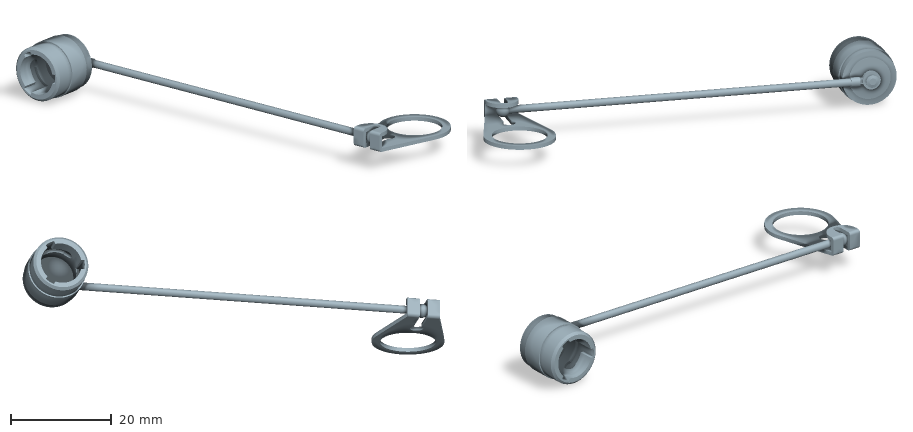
import cadquery as cq
import math


band_radius = 5.84
body_radius = 5.58
mouth_y = -12.43
band_front_y = -8.3
band_back_y = -3.77
body_back_y = -1.8
mouth_chamfer = 0.5
lip_radius = 4.27
lip_height = 0.3
bore_radius = 4.13
bore_depth = 8.0

track_count = 3
track_width = 1.9
track_floor_radius = 4.75
track_depth = 5.2
track_turn = 60.0
detent_diameter = 2.4

neck_radius = 0.8
collar_radius = 1.0
head_radius = 1.3
head_tip_radius = 0.7
collar_length = 0.6
head_rim_length = 0.1
head_tip_length = 0.2

eyelet_radius = 1.85
eyelet_thickness = 0.8
eyelet_front_y = -0.83
tongue_width = 1.2
tongue_thickness = 0.5
barrel_radius = 0.95
barrel_start_x = 2.54
barrel_end_x = 4.4
cord_radius = 0.78
ball_radius = 1.4

tag_x = 75.7
ring_radius = 7.21
ring_hole_radius = 5.55
ring_y = 13.08
sheet = 0.8
fold_height = 4.0
fold_half_width = 3.3
fold_front_y = -2.05
fold_radius = 0.6
tab_arc_y = -0.8
slot_width = 1.6
tab_slot_end_y = 1.85
keyhole_radius = 1.33
keyhole_y = 4.8

eyelet_back_y = eyelet_front_y + eyelet_thickness
lip_back_y = body_back_y + lip_height
bore_floor_y = mouth_y + bore_depth


def cylinder_along_y(radius, start_y, end_y):
    return cq.Workplane("XZ", origin=(0, start_y, 0)).circle(radius).extrude(start_y - end_y)


def cylinder_along_x(radius, start_x, end_x):
    return cq.Workplane("YZ", origin=(start_x, 0, 0)).circle(radius).extrude(end_x - start_x)


def bayonet_track():
    """Axial entry groove on the +X side, a turn about Y, and a round detent at its end."""
    entry = cq.Workplane("XY").box(
        track_floor_radius, track_depth, track_width, centered=(False, False, True)
    ).translate((0, mouth_y, 0))
    turn_middle_y = mouth_y + track_depth - track_width / 2
    turn = (
        cq.Workplane("XY")
        .center(track_floor_radius / 2, turn_middle_y)
        .rect(track_floor_radius, track_width)
        .revolve(track_turn, (-track_floor_radius / 2, 0), (-track_floor_radius / 2, 1))
    )
    detent = (
        cq.Workplane("YZ", origin=(0, turn_middle_y, 0))
        .circle(detent_diameter / 2)
        .extrude(track_floor_radius)
        .rotate((0, 0, 0), (0, 1, 0), track_turn)
    )
    limit = cylinder_along_y(track_floor_radius, mouth_y, bore_floor_y)
    return entry.union(turn).union(detent).intersect(limit)


def make_plug():
    collar_y = eyelet_back_y + collar_length
    rim_y = collar_y + head_rim_length
    tip_y = rim_y + head_tip_length
    profile = [
        (0, bore_floor_y),
        (bore_radius, bore_floor_y),
        (bore_radius, mouth_y),
        (body_radius - mouth_chamfer, mouth_y),
        (body_radius, mouth_y + mouth_chamfer),
        (body_radius, band_front_y),
        (band_radius, band_front_y),
        (band_radius, band_back_y),
        (body_radius, band_back_y),
        (body_radius, body_back_y),
        (lip_radius, body_back_y),
        (lip_radius, lip_back_y),
        (neck_radius, lip_back_y),
        (neck_radius, eyelet_back_y),
        (collar_radius, eyelet_back_y),
        (collar_radius, collar_y),
        (head_radius, collar_y),
        (head_radius, rim_y),
        (head_tip_radius, tip_y),
        (0, tip_y),
    ]
    plug = cq.Workplane("XY").polyline(profile).close().revolve(360, (0, 0), (0, 1))
    track = bayonet_track()
    for number in range(track_count):
        plug = plug.cut(track.rotate((0, 0, 0), (0, 1, 0), number * 360 / track_count))
    return plug


def make_lanyard():
    eyelet = cylinder_along_y(eyelet_radius, eyelet_front_y, eyelet_back_y)
    tongue = cq.Workplane("XY").box(
        barrel_start_x, tongue_thickness, tongue_width, centered=(False, True, True)
    ).translate((0, eyelet_front_y + eyelet_thickness / 2, 0))
    hole = cylinder_along_y(neck_radius, eyelet_front_y, eyelet_back_y)
    barrel = cylinder_along_x(barrel_radius, barrel_start_x, barrel_end_x)
    cord = cylinder_along_x(cord_radius, barrel_start_x, tag_x)
    ball = cq.Workplane("XY").sphere(ball_radius).translate((tag_x, 0, 0))
    return eyelet.union(tongue).cut(hole).union(barrel).union(cord).union(ball)


def plate_outline():
    """Ring end of the plate with straight sides tangent to it, down to the foot at the fold."""
    foot_y = fold_front_y + fold_radius
    foot_drop = ring_y - foot_y
    foot_distance = math.hypot(fold_half_width, foot_drop)
    foot_angle = math.atan2(-foot_drop, fold_half_width)
    tangent_angle = foot_angle + math.acos(ring_radius / foot_distance)
    tangent_x = ring_radius * math.cos(tangent_angle)
    tangent_y = ring_y + ring_radius * math.sin(tangent_angle)
    return (
        cq.Workplane("XY", origin=(0, 0, -fold_height / 2))
        .moveTo(-fold_half_width, foot_y)
        .lineTo(-fold_half_width, fold_front_y)
        .lineTo(fold_half_width, fold_front_y)
        .lineTo(fold_half_width, foot_y)
        .lineTo(tangent_x, tangent_y)
        .threePointArc((0, ring_y + ring_radius), (-tangent_x, tangent_y))
        .close()
    )


def make_tag():
    bottom_z = -fold_height / 2
    tab_bottom_z = fold_height / 2 - sheet
    plate = plate_outline().extrude(sheet)
    wall = cq.Workplane("XY", origin=(0, fold_front_y, bottom_z)).box(
        2 * fold_half_width, sheet, fold_height, centered=(True, False, False)
    )
    tab = (
        cq.Workplane("XY", origin=(0, 0, tab_bottom_z))
        .moveTo(-fold_half_width, fold_front_y)
        .lineTo(fold_half_width, fold_front_y)
        .lineTo(fold_half_width, tab_arc_y)
        .threePointArc((0, tab_arc_y + fold_half_width), (-fold_half_width, tab_arc_y))
        .close()
        .extrude(sheet)
    )
    tag = plate.union(wall).union(tab)
    tag = tag.edges("|X and <Y").fillet(fold_radius)

    ring_hole = cq.Workplane("XY", origin=(0, ring_y, bottom_z)).circle(ring_hole_radius).extrude(sheet)
    keyhole = cq.Workplane("XY", origin=(0, keyhole_y, bottom_z)).circle(keyhole_radius).extrude(sheet)
    plate_slot = cq.Workplane("XY", origin=(0, fold_front_y, bottom_z)).box(
        slot_width, keyhole_y - fold_front_y, sheet, centered=(True, False, False)
    )
    tab_slot_middle_y = tab_slot_end_y - slot_width / 2
    tab_slot = cq.Workplane("XY", origin=(0, fold_front_y, bottom_z)).box(
        slot_width, tab_slot_middle_y - fold_front_y, fold_height, centered=(True, False, False)
    )
    tab_slot_end = (
        cq.Workplane("XY", origin=(0, tab_slot_middle_y, tab_bottom_z)).circle(slot_width / 2).extrude(sheet)
    )
    for opening in (ring_hole, keyhole, plate_slot, tab_slot, tab_slot_end):
        tag = tag.cut(opening)
    return tag.translate((tag_x, 0, 0))


plug = make_plug()
lanyard = make_lanyard()
tag = make_tag()

result = cq.Compound.makeCompound([plug.val(), lanyard.val(), tag.val()])